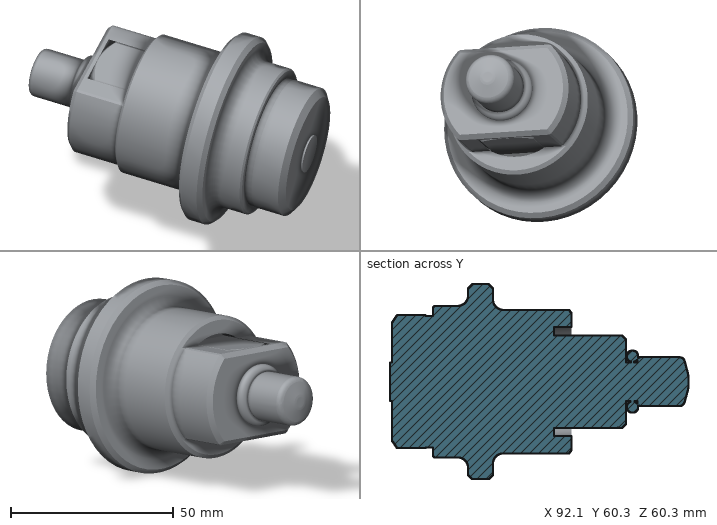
import cadquery as cq
import math

LENGTH = 92.1

PIN_R = 15.3 / 2
TIP_FLAT_R = 2.0
TIP_ANGLE = 15.0
TIP_BLEND = 3.5
PIN_ROUND = 1.8
PIN_END = 15.8
PIN_CHAMFER_LENGTH = 0.9
PIN_CHAMFER_DEPTH = 0.4
GROOVE_R = 12.0 / 2

RING_TUBE_R = 1.8
RING_CENTER_R = GROOVE_R + RING_TUBE_R

HEAD_X = 19.15
HEAD_R = 40.8 / 2
HEAD_CHAMFER = 1.4
FLATS_WIDTH = 28.6
FLAT_EDGE_DROP = 0.4
FLAT_EDGE_WIDTH = 0.8
FLATS_END = 36.0

CLEARANCE_X = 21.6
CLEARANCE_R = 33.5 / 2
CLEARANCE_GAP = 0.3
CONE_START_R = 14.13
POCKET_END = 41.4

BODY_X = 35.5
BODY_R = 44.5 / 2
BODY_CHAMFER_LENGTH = 1.3
FLANGE_X = 60.2
FLANGE_END = 68.0
FLANGE_R = 60.3 / 2
FLANGE_CHAMFER = 1.4
FLANGE_FILLET = 3.0
COLLAR_R = 47.0 / 2
COLLAR_END = 78.8
COLLAR_CHAMFER = 0.55

RELIEF_R = 40.8 / 2
RELIEF_END = 81.0
SPIGOT_R = 41.2 / 2
SPIGOT_END = 91.5
SPIGOT_CHAMFER_LENGTH = 1.7
SPIGOT_CHAMFER_DEPTH = 2.4
BUTTON_R = 12.0 / 2


def revolve(points):
    """Turn a closed (x, radius) outline about the X axis."""
    return cq.Workplane("XY").polyline(points).close().revolve(360, (0, 0, 0), (1, 0, 0))


def slab(start, end, width_y, width_z):
    """Block centred on the X axis between two stations."""
    return cq.Workplane("YZ", origin=(start, 0, 0)).rect(width_y, width_z).extrude(end - start)


def circle_at(x, radius):
    """Select the circular edge of the given radius at station x."""
    reach = 0.01
    size = radius + reach
    return cq.selectors.BoxSelector((x - reach, -size, -size), (x + reach, size, size), boundingbox=True)


def make_pin():
    cone_length = (PIN_R - TIP_FLAT_R) * math.tan(math.radians(TIP_ANGLE))
    pin = revolve([
        (0, 0),
        (0, TIP_FLAT_R),
        (cone_length, PIN_R),
        (PIN_END - PIN_CHAMFER_LENGTH, PIN_R),
        (PIN_END, PIN_R - PIN_CHAMFER_DEPTH),
        (PIN_END, GROOVE_R),
        (HEAD_X, GROOVE_R),
        (HEAD_X, 0),
    ])
    pin = pin.edges(circle_at(cone_length, PIN_R)).fillet(PIN_ROUND)
    return pin.edges(circle_at(0, TIP_FLAT_R)).fillet(TIP_BLEND)


def make_seal_ring():
    return (
        cq.Workplane("XY")
        .center(HEAD_X - RING_TUBE_R, RING_CENTER_R)
        .circle(RING_TUBE_R)
        .revolve(360, (0, -RING_CENTER_R, 0), (1, -RING_CENTER_R, 0))
    )


def make_head():
    head = cq.Workplane("YZ", origin=(HEAD_X, 0, 0)).circle(HEAD_R).extrude(FLATS_END - HEAD_X)
    head = head.intersect(slab(HEAD_X, FLATS_END, 2 * HEAD_R, FLATS_WIDTH))
    half_z = FLATS_WIDTH / 2
    corner_y = math.sqrt(HEAD_R**2 - half_z**2)
    inner_y = corner_y - FLAT_EDGE_WIDTH / 2
    outer_y = inner_y + FLAT_EDGE_WIDTH
    outer_z = half_z - FLAT_EDGE_DROP
    for side in (-1, 1):
        for level in (-1, 1):
            corner = (
                cq.Workplane("YZ", origin=(HEAD_X, 0, 0))
                .polyline([
                    (side * inner_y, level * half_z),
                    (side * outer_y, level * outer_z),
                    (side * outer_y, level * half_z),
                ])
                .close()
                .extrude(BODY_X - HEAD_X)
            )
            head = head.cut(corner)
    return head.faces("<X").chamfer(HEAD_CHAMFER)


def make_body():
    body = revolve([
        (BODY_X, 0),
        (BODY_X, HEAD_R),
        (BODY_X + BODY_CHAMFER_LENGTH, BODY_R),
        (FLANGE_X, BODY_R),
        (FLANGE_X, FLANGE_R - FLANGE_CHAMFER),
        (FLANGE_X + FLANGE_CHAMFER, FLANGE_R),
        (FLANGE_END - FLANGE_CHAMFER, FLANGE_R),
        (FLANGE_END, FLANGE_R - FLANGE_CHAMFER),
        (FLANGE_END, COLLAR_R),
        (COLLAR_END - COLLAR_CHAMFER, COLLAR_R),
        (COLLAR_END, COLLAR_R - COLLAR_CHAMFER),
        (COLLAR_END, RELIEF_R),
        (RELIEF_END, RELIEF_R),
        (RELIEF_END, SPIGOT_R),
        (SPIGOT_END - SPIGOT_CHAMFER_LENGTH, SPIGOT_R),
        (SPIGOT_END, SPIGOT_R - SPIGOT_CHAMFER_DEPTH),
        (SPIGOT_END, BUTTON_R),
        (LENGTH, BUTTON_R),
        (LENGTH, 0),
    ])
    body = body.edges(circle_at(FLANGE_X, BODY_R)).fillet(FLANGE_FILLET)
    body = body.edges(circle_at(FLANGE_END, COLLAR_R)).fillet(FLANGE_FILLET)
    beyond_flats = slab(BODY_X, FLATS_END, 2 * BODY_R, 2 * BODY_R).cut(
        slab(BODY_X, FLATS_END, 2 * BODY_R, FLATS_WIDTH)
    )
    return body.cut(beyond_flats)


def make_clearance():
    core_r = CLEARANCE_R - CLEARANCE_GAP
    cone_end = CLEARANCE_X + core_r - CONE_START_R
    clearance = revolve([
        (CLEARANCE_X, CONE_START_R),
        (cone_end, core_r),
        (FLATS_END, core_r),
        (FLATS_END, CLEARANCE_R),
        (CLEARANCE_X, CLEARANCE_R),
    ])
    pocket = cq.Workplane("YZ", origin=(FLATS_END, 0, 0)).circle(CLEARANCE_R).extrude(POCKET_END - FLATS_END)
    pocket = pocket.cut(slab(FLATS_END, POCKET_END, 2 * CLEARANCE_R, FLATS_WIDTH))
    return clearance.union(pocket)


result = make_body().union(make_head()).cut(make_clearance())
result = result.union(make_pin()).union(make_seal_ring())